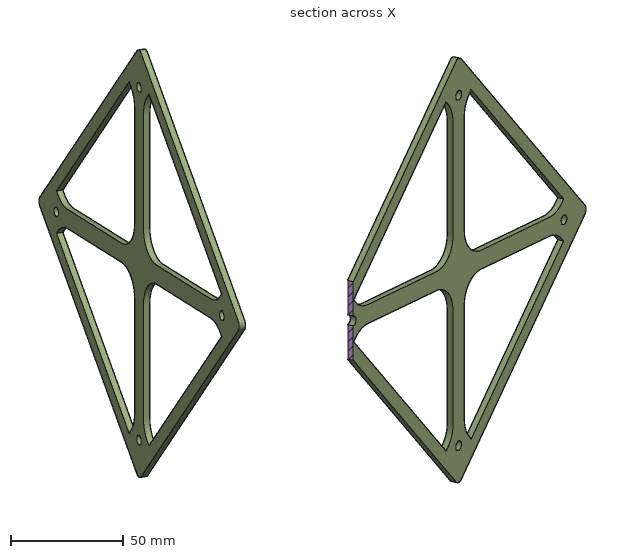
import cadquery as cq
import math

tip_span = 200.5
thickness = 3.2
corner_radius = 3.0

frame_width = 6.5
bar_width = 9.0
pad_side = 20.5
window_fillet = 13.0

hole_diameter = 4.5
hole_distance = 82.8

sharp_tip = tip_span / 2 + corner_radius * (math.sqrt(2) - 1)
inner_tip = sharp_tip - frame_width * math.sqrt(2)
pad_tip = sharp_tip - pad_side * math.sqrt(2)


def diamond_plate():
    side = sharp_tip * math.sqrt(2)
    plate = cq.Workplane("XY").rect(side, side).extrude(thickness)
    plate = plate.edges("|Z").fillet(corner_radius)
    plate = plate.rotate((0, 0, 0), (0, 0, 1), 45).rotate((0, 0, 0), (1, 0, 0), 90)
    return plate.translate((0, thickness / 2, 0))


def window():
    """Opening in the +X +Z quadrant, bounded by two bars, two pads and the frame."""
    bar_edge = bar_width / 2
    pad_on_bar = pad_tip + bar_edge
    near = (inner_tip - pad_tip) / 2
    far = (inner_tip + pad_tip) / 2
    outline = [
        (bar_edge, bar_edge),
        (pad_on_bar, bar_edge),
        (far, near),
        (near, far),
        (bar_edge, pad_on_bar),
    ]
    cutter = cq.Workplane("XZ").polyline(outline).close().extrude(thickness, both=True)
    bar_corners = [outline[0], outline[1], outline[4]]
    for x, z in bar_corners:
        corner_edge = cq.selectors.NearestToPointSelector((x, 0, z))
        cutter = cutter.edges("|Y").edges(corner_edge).fillet(window_fillet)
    return cutter


def mounting_hole():
    hole = cq.Workplane("XZ").center(hole_distance, 0).circle(hole_diameter / 2)
    return hole.extrude(thickness, both=True)


result = diamond_plate()
for quarter in range(4):
    angle = 90 * quarter
    result = result.cut(window().rotate((0, 0, 0), (0, 1, 0), angle))
    result = result.cut(mounting_hole().rotate((0, 0, 0), (0, 1, 0), angle))